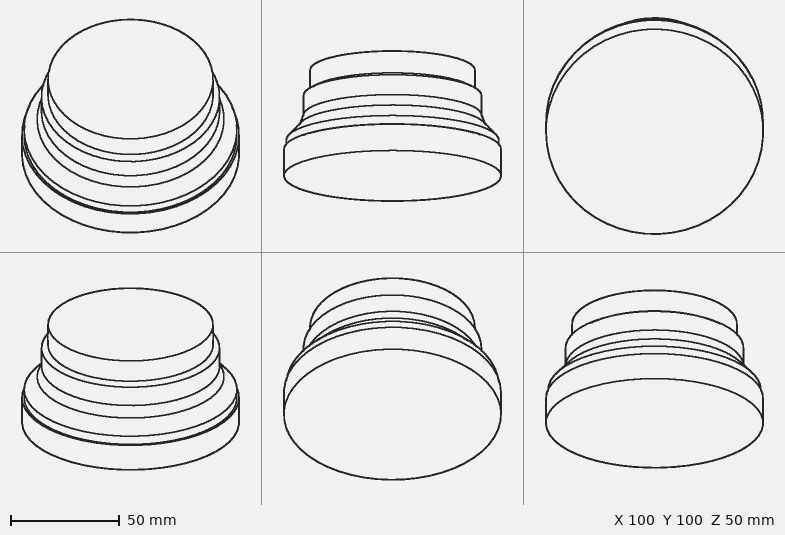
import cadquery as cq

base_diameter = 100.0
band_diameter = 98.0
shoulder_diameter = 86.0
neck_diameter = 82.0
cap_diameter = 76.0

base_top = 12.6
band_top = 16.8
shoulder_height = 23.2
neck_bottom = 28.6
neck_top = 38.0
cap_bottom = 39.6
total_height = 50.0

profile = (
    cq.Workplane("XZ")
    .moveTo(0, 0)
    .lineTo(base_diameter / 2, 0)
    .lineTo(base_diameter / 2, base_top)
    .lineTo(band_diameter / 2, base_top)
    .lineTo(band_diameter / 2, band_top)
    .lineTo(shoulder_diameter / 2, shoulder_height)
    .lineTo(neck_diameter / 2, neck_bottom)
    .lineTo(neck_diameter / 2, neck_top)
    .lineTo(cap_diameter / 2, cap_bottom)
    .lineTo(cap_diameter / 2, total_height)
    .lineTo(0, total_height)
    .close()
)

result = profile.revolve(360, (0, 0), (0, 1))